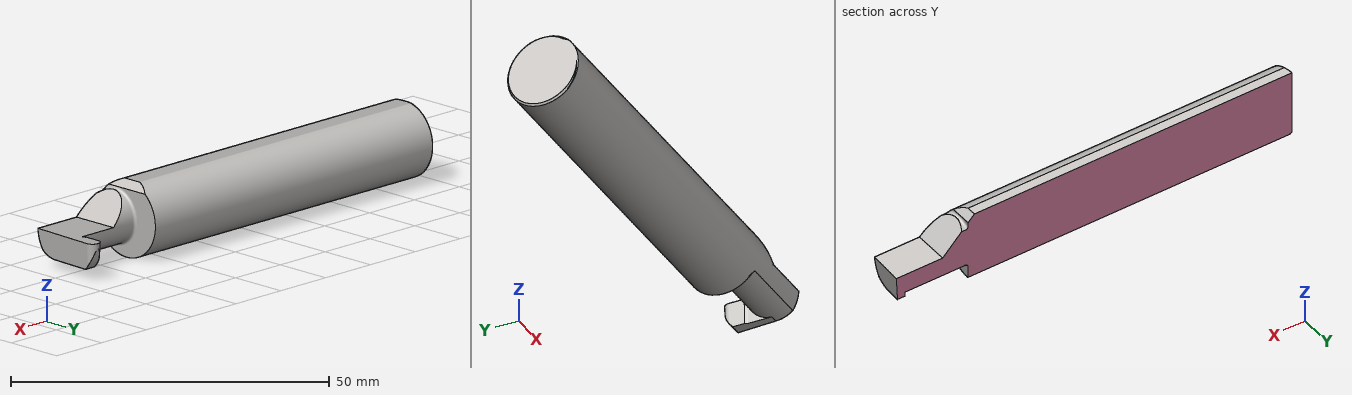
import cadquery as cq
import math

total_length = 76.2
shank_diameter = 12.65
shank_radius = shank_diameter / 2
flat_height = 12.4
flat_z = flat_height - shank_radius
shank_length = 62.2
end_chamfer = 0.3

neck_radius = 4.4
neck_side_y = 1.9
neck_axis_y = neck_side_y - neck_radius
root_fillet = 0.45

ramp_foot_x = 67.05

tip_radius = 1.2
tip_center_x = total_length - tip_radius
tip_center_y = shank_radius - tip_radius
blade_root_relief = 0.2
front_relief = 0.5
front_slant = front_relief / (tip_center_y + shank_radius)
flank_draft = 3.0


def cylinder_along_x(radius, length):
    return cq.Workplane("YZ").circle(radius).extrude(length)


def make_shank():
    shank = cylinder_along_x(shank_radius, shank_length)
    return shank.faces("<X").chamfer(end_chamfer)


def make_neck():
    """Round neck with a concave fillet where it leaves the shank face."""
    fillet_end_x = shank_length + root_fillet
    flare_radius = neck_radius + root_fillet
    diagonal = root_fillet * (1 - math.sqrt(0.5))
    fillet_middle = (shank_length + diagonal, neck_radius + diagonal)
    profile = (
        cq.Workplane("XY")
        .lineTo(0, flare_radius)
        .lineTo(shank_length, flare_radius)
        .threePointArc(fillet_middle, (fillet_end_x, neck_radius))
        .lineTo(total_length, neck_radius)
        .lineTo(total_length, 0)
        .close()
    )
    neck = profile.revolve(360, (0, 0, 0), (1, 0, 0)).translate((0, neck_axis_y, 0))
    return neck.intersect(cylinder_along_x(shank_radius, total_length))


def trim_neck_end(neck):
    """Cut the neck end along the drafted front flank."""
    span = shank_diameter
    keep = (
        cq.Workplane("XY")
        .moveTo(0, -span)
        .lineTo(total_length - front_slant * (span + tip_center_y), -span)
        .lineTo(total_length + front_slant * (span - tip_center_y), span)
        .lineTo(0, span)
        .close()
        .extrude(-shank_radius, taper=flank_draft)
    )
    upper_keep = cq.Workplane("XY").box(
        total_length, 2 * span, span, centered=(False, True, False)
    )
    return neck.intersect(keep.union(upper_keep))


def make_blade():
    """Round-nosed blade, drafted downwards and kept inside the shank circle."""
    rear_x = total_length - 2 * tip_radius
    root_front_x = total_length - front_slant * (tip_center_y - neck_axis_y)
    blade = (
        cq.Workplane("XY")
        .moveTo(rear_x + blade_root_relief, neck_axis_y)
        .lineTo(rear_x + blade_root_relief, neck_side_y)
        .lineTo(rear_x, neck_side_y + 2 * blade_root_relief)
        .lineTo(rear_x, tip_center_y)
        .threePointArc((tip_center_x, shank_radius), (total_length, tip_center_y))
        .lineTo(root_front_x, neck_axis_y)
        .close()
        .extrude(-neck_radius, taper=flank_draft)
    )
    return blade.intersect(cylinder_along_x(shank_radius, total_length))


def make_top_cut():
    """Material above the flat, the ramp and the rake face."""
    clearance = shank_diameter
    return (
        cq.Workplane("XZ")
        .moveTo(0, flat_z)
        .lineTo(ramp_foot_x - flat_z, flat_z)
        .lineTo(ramp_foot_x, 0)
        .lineTo(total_length + clearance, 0)
        .lineTo(total_length + clearance, clearance)
        .lineTo(0, clearance)
        .close()
        .extrude(clearance, both=True)
    )


body = make_shank().union(trim_neck_end(make_neck()))
result = body.cut(make_top_cut()).union(make_blade())